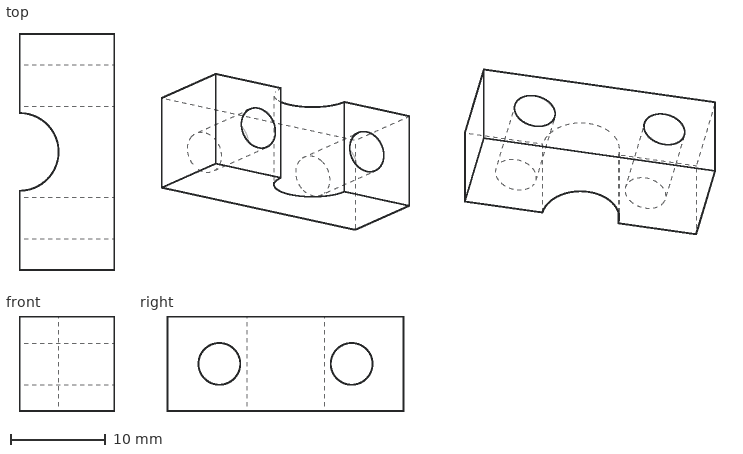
import cadquery as cq

width = 10.0
length = 25.0
height = 10.0

groove_diameter = 8.2

hole_diameter = 4.4
hole_spacing = 14.0

block = cq.Workplane("XY").box(width, length, height)

groove = (
    cq.Workplane("XY")
    .center(-width / 2, 0)
    .circle(groove_diameter / 2)
    .extrude(height / 2, both=True)
)

holes = (
    cq.Workplane("YZ")
    .pushPoints([(-hole_spacing / 2, 0), (hole_spacing / 2, 0)])
    .circle(hole_diameter / 2)
    .extrude(width / 2, both=True)
)

result = block.cut(groove).cut(holes)